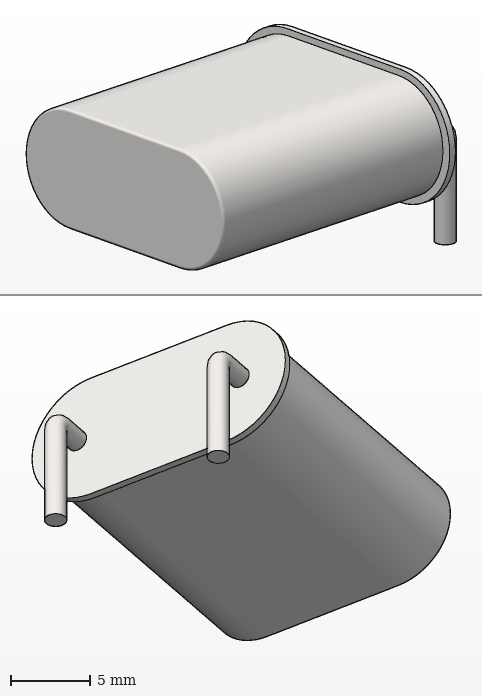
import cadquery as cq
import math

can_width = 18.0
can_height = 8.03
can_length = 19.25
can_end_fillet = 0.2

flange_width = 19.23
flange_height = 8.95
flange_thickness = 0.5

pin_diameter = 1.4
pin_spacing = 12.34
pin_reach = 3.15
pin_bottom_depth = 7.565
bend_radius = 0.62

pin_radius = pin_diameter / 2
flange_back = flange_thickness
leg_y = flange_back + pin_reach - pin_radius


def stadium_prism(width, height, start_y, length):
    """Round-ended bar running from start_y towards -Y."""
    return (
        cq.Workplane("XZ", origin=(0, start_y, 0))
        .slot2D(width, height)
        .extrude(length)
    )


def make_can():
    can = stadium_prism(can_width, can_height, 0, can_length)
    return can.faces("<Y").edges().fillet(can_end_fillet)


def make_flange():
    return stadium_prism(flange_width, flange_height, flange_back, flange_thickness)


def make_pin(x):
    """Round pin that leaves the flange along +Y and bends down to -Z."""
    bend_start_y = leg_y - bend_radius
    straight = (
        cq.Workplane("XZ", origin=(x, bend_start_y, 0))
        .circle(pin_radius)
        .extrude(bend_start_y)
    )
    half_chord = math.sqrt(pin_radius**2 - bend_radius**2)
    bend = (
        cq.Workplane("XZ", origin=(x, bend_start_y, 0))
        .moveTo(-half_chord, -bend_radius)
        .threePointArc((0, pin_radius), (half_chord, -bend_radius))
        .close()
        .revolve(90, (1, -bend_radius), (0, -bend_radius))
    )
    leg = (
        cq.Workplane("XY", origin=(x, leg_y, -pin_bottom_depth))
        .circle(pin_radius)
        .extrude(pin_bottom_depth - bend_radius)
    )
    return straight.union(bend).union(leg)


result = make_can().union(make_flange())
for side in (-1, 1):
    result = result.union(make_pin(side * pin_spacing / 2))